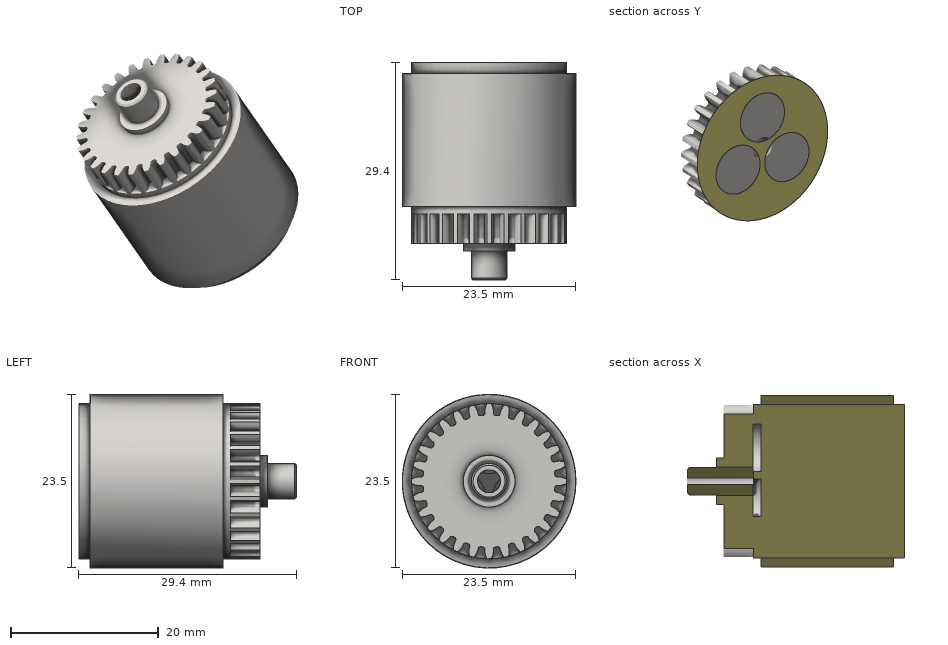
import cadquery as cq
import math

TOTAL_LENGTH = 29.4
REAR_LIP = 1.5
SLEEVE_LENGTH = 18.0
FRONT_LIP = 1.0
GEAR_WIDTH = 4.0
BOSS_HEIGHT = 1.0

SLEEVE_FRONT = REAR_LIP + SLEEVE_LENGTH
DRUM_FRONT = SLEEVE_FRONT + FRONT_LIP
GEAR_FRONT = DRUM_FRONT + GEAR_WIDTH
BOSS_FRONT = GEAR_FRONT + BOSS_HEIGHT

SLEEVE_DIAMETER = 23.5
DRUM_DIAMETER = 21.0
BOSS_DIAMETER = 7.0
SHAFT_DIAMETER = 4.8
SHAFT_BORE = 3.1
SHAFT_CHAMFER = 0.24

FLOOR_HOLE_COUNT = 3
FLOOR_HOLE_DIAMETER = 7.0
FLOOR_HOLE_OFFSET = 4.53
FLOOR_HOLE_DEPTH = 1.0
FIRST_HOLE_ANGLE = 90

TOOTH_COUNT = 28
PRESSURE_ANGLE = math.radians(16)
DEDENDUM_FACTOR = 1.25
ROOT_FILLET = 0.35

GEAR_MODULE = DRUM_DIAMETER / (TOOTH_COUNT + 2)
TIP_RADIUS = DRUM_DIAMETER / 2
PITCH_RADIUS = GEAR_MODULE * TOOTH_COUNT / 2
ROOT_RADIUS = PITCH_RADIUS - DEDENDUM_FACTOR * GEAR_MODULE
BASE_RADIUS = PITCH_RADIUS * math.cos(PRESSURE_ANGLE)
TOOTH_PITCH_ANGLE = 2 * math.pi / TOOTH_COUNT


def front_plane(distance):
    """Plane across the axis at a distance from the rear face, facing the front."""
    return cq.Workplane("XZ", origin=(0, -distance, 0))


def cylinder(diameter, start, end):
    return front_plane(start).circle(diameter / 2).extrude(end - start)


def involute(angle):
    return math.tan(angle) - angle


def gap_half_angle(radius):
    """Half of the angle between facing tooth flanks at a radius on the involute."""
    flank_angle = math.acos(BASE_RADIUS / radius)
    return TOOTH_PITCH_ANGLE / 4 - involute(PRESSURE_ANGLE) + involute(flank_angle)


def flank_point(radius, side):
    """Point on one flank of the gap that is centred on the second axis of the plane."""
    angle = side * gap_half_angle(radius)
    return (radius * math.sin(angle), radius * math.cos(angle))


def tooth_gap():
    """Cutter for one gap: parallel walls below the base circle, involute flanks above it."""
    base_x, base_y = flank_point(BASE_RADIUS, 1)
    tip_x = flank_point(TIP_RADIUS, 1)[0]
    clear_height = TIP_RADIUS + GEAR_MODULE
    return (
        front_plane(DRUM_FRONT)
        .moveTo(-base_x, ROOT_RADIUS)
        .lineTo(base_x, ROOT_RADIUS)
        .lineTo(base_x, base_y)
        .threePointArc(flank_point(PITCH_RADIUS, 1), flank_point(TIP_RADIUS, 1))
        .lineTo(tip_x, clear_height)
        .lineTo(-tip_x, clear_height)
        .lineTo(*flank_point(TIP_RADIUS, -1))
        .threePointArc(flank_point(PITCH_RADIUS, -1), (-base_x, base_y))
        .close()
        .extrude(GEAR_WIDTH)
        .edges("|Y and <Z")
        .fillet(ROOT_FILLET)
    )


def make_gear():
    """Gear with a tooth centred on the Z axis."""
    gear = cylinder(DRUM_DIAMETER, DRUM_FRONT, GEAR_FRONT)
    gap = tooth_gap()
    for index in range(TOOTH_COUNT):
        turn = math.degrees((index + 0.5) * TOOTH_PITCH_ANGLE)
        gear = gear.cut(gap.rotate((0, 0, 0), (0, 1, 0), turn))
    return gear


def floor_holes():
    return (
        front_plane(DRUM_FRONT)
        .polarArray(FLOOR_HOLE_OFFSET, FIRST_HOLE_ANGLE, 360, FLOOR_HOLE_COUNT)
        .circle(FLOOR_HOLE_DIAMETER / 2)
        .extrude(-FLOOR_HOLE_DEPTH)
    )


def make_geared_drum():
    """Drum, gear and front boss in one piece, with a socket through the gear for the shaft."""
    drum = cylinder(DRUM_DIAMETER, 0, DRUM_FRONT)
    boss = cylinder(BOSS_DIAMETER, GEAR_FRONT, BOSS_FRONT)
    socket = cylinder(SHAFT_DIAMETER, DRUM_FRONT, BOSS_FRONT)
    return drum.union(make_gear()).union(boss).cut(socket).cut(floor_holes())


def make_sleeve():
    """Plain ring around the drum."""
    ring = cylinder(SLEEVE_DIAMETER, REAR_LIP, SLEEVE_FRONT)
    return ring.cut(cylinder(DRUM_DIAMETER, REAR_LIP, SLEEVE_FRONT))


def make_hollow_shaft():
    """Tube standing on the socket floor, chamfered at its front rim."""
    rod = cylinder(SHAFT_DIAMETER, DRUM_FRONT, TOTAL_LENGTH)
    rod = rod.faces("<Y").chamfer(SHAFT_CHAMFER)
    return rod.cut(cylinder(SHAFT_BORE, DRUM_FRONT, TOTAL_LENGTH))


geared_drum = make_geared_drum()
sleeve = make_sleeve()
hollow_shaft = make_hollow_shaft()

result = cq.Compound.makeCompound([geared_drum.val(), sleeve.val(), hollow_shaft.val()])